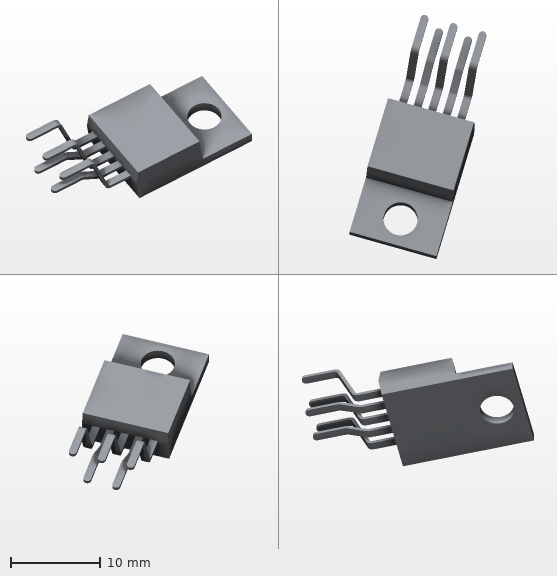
import cadquery as cq
import math


total_length = 24.7
total_height = 8.48
width = 10.15

housing_depth = 8.92
housing_height = 4.55
housing_top_width = 10.05
draft_angle = 8.0
front_band_height = 0.45

tab_length = 6.57
tab_thickness = 1.25
tab_hole_diameter = 3.83
tab_hole_setback = 3.05

marker_diameter = 1.68
marker_depth = 0.1
marker_x = -3.29
marker_y = 1.53

lead_count = 5
lead_row_span = 6.8
lead_pitch = lead_row_span / (lead_count - 1)
lead_width = 0.9
lead_thickness = 0.4
lead_length = total_length - tab_length - housing_depth
bend_start = 2.62
bend_end = 5.44
bend_radius = 1.5 * lead_thickness
steep_angle = 70.0
shallow_angle = 30.0


def bend_setback(angle):
    """Distance from a bend's tangent point to the corner of the straight path."""
    return bend_radius * math.tan(math.radians(angle / 2))


def bend_rise(angle):
    """Height gained between the lower and upper straight runs of a lead."""
    corner_spacing = bend_end - bend_start - 2 * bend_setback(angle)
    return corner_spacing * math.tan(math.radians(angle))


lead_root_z = total_height - lead_thickness / 2 - bend_rise(steep_angle)


def make_marker():
    return (
        cq.Workplane("XY", origin=(marker_x, marker_y, housing_height - marker_depth))
        .circle(marker_diameter / 2)
        .extrude(marker_depth)
    )


def make_housing(marker):
    slope = math.tan(math.radians(draft_angle))
    band_bottom = lead_root_z - front_band_height / 2
    band_top = lead_root_z + front_band_height / 2
    side_outline = [
        (slope * band_bottom, 0),
        (0, band_bottom),
        (0, band_top),
        (slope * (housing_height - band_top), housing_height),
        (housing_depth - slope * (housing_height - tab_thickness), housing_height),
        (housing_depth, tab_thickness),
        (housing_depth, 0),
    ]
    side_block = cq.Workplane("YZ").polyline(side_outline).close().extrude(width / 2, both=True)

    end_outline = [
        (-width / 2, 0),
        (width / 2, 0),
        (housing_top_width / 2, housing_height),
        (-housing_top_width / 2, housing_height),
    ]
    end_block = cq.Workplane("XZ").polyline(end_outline).close().extrude(-housing_depth)
    return side_block.intersect(end_block).cut(marker)


def make_tab():
    rear_y = housing_depth + tab_length
    plate = cq.Workplane("XY").box(width, tab_length, tab_thickness, centered=(True, False, False))
    hole = (
        cq.Workplane("XY", origin=(0, rear_y - tab_hole_setback, 0))
        .circle(tab_hole_diameter / 2)
        .extrude(tab_thickness)
    )
    return plate.translate((0, housing_depth, 0)).cut(hole)


def make_lead(x, angle):
    """A flat strip bent up and back level, with a fully rounded tip."""
    first_corner_y = -(bend_start + bend_setback(angle))
    second_corner_y = -(bend_end - bend_setback(angle))
    upper_z = lead_root_z + bend_rise(angle)
    corners = [
        cq.Vector(x, 0, lead_root_z),
        cq.Vector(x, first_corner_y, lead_root_z),
        cq.Vector(x, second_corner_y, upper_z),
        cq.Vector(x, -lead_length, upper_z),
    ]
    path = cq.Wire.makePolygon(corners)
    path = path.fillet2D(bend_radius, path.Vertices()[1:3])
    strip = (
        cq.Workplane("XZ", origin=(x, 0, lead_root_z))
        .rect(lead_width, lead_thickness)
        .sweep(cq.Workplane(path))
    )

    half_width = lead_width / 2
    plan = (
        cq.Workplane("XY", origin=(x, 0, 0))
        .moveTo(half_width, 0)
        .lineTo(-half_width, 0)
        .lineTo(-half_width, half_width - lead_length)
        .radiusArc((0, -lead_length), -half_width)
        .radiusArc((half_width, half_width - lead_length), -half_width)
        .close()
        .extrude(total_height)
    )
    return strip.intersect(plan, clean=False)


marker = make_marker()
housing = make_housing(marker)
tab = make_tab()

leads = []
for index in range(lead_count):
    lead_x = (index - (lead_count - 1) / 2) * lead_pitch
    lead_angle = steep_angle if index % 2 == 0 else shallow_angle
    leads.append(make_lead(lead_x, lead_angle).val())

result = cq.Compound.makeCompound([housing.val(), tab.val(), marker.val(), *leads])